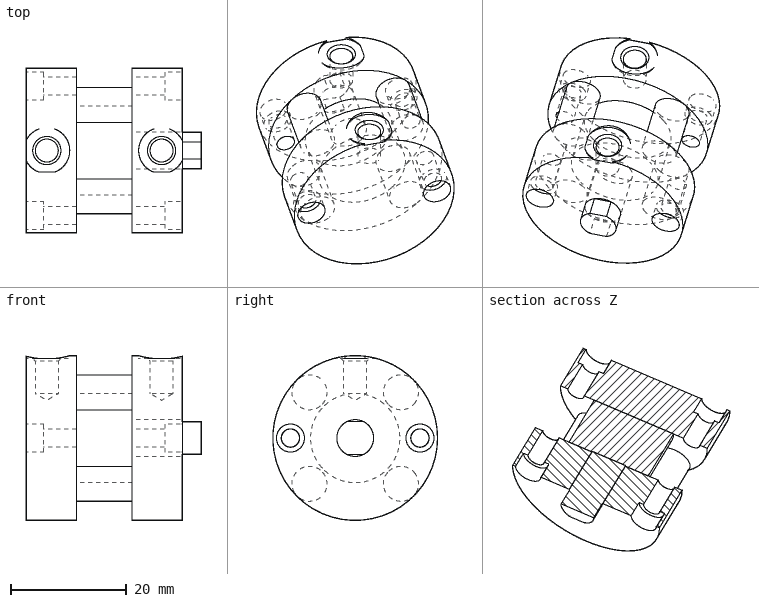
import cadquery as cq
import math

overall_length = 30.23
cap_diameter = 28.45
cap_thickness = 8.7
cap_gap = 9.52

barrel_diameter = 15.42
tie_rod_diameter = 6.05
tie_rod_offset = 7.9

piston_rod_diameter = 6.35
piston_rod_across_flats = 5.62

mount_spacing = 22.35
mount_hole_diameter = 3.1
counterbore_diameter = 4.85
counterbore_depth = 3.02

port_inset = 3.57
spotface_diameter = 7.92
spotface_height = 13.72
port_chamfer = 0.45
port_diameter = 3.95
port_depth = 6.05
drill_point_angle = 118.0

cap_radius = cap_diameter / 2
front_cap_start = cap_thickness + cap_gap
front_cap_end = front_cap_start + cap_thickness


def x_cylinder(diameter, start, length, y=0.0, z=0.0):
    """Cylinder parallel to X that begins at `start`."""
    return cq.Workplane("YZ", origin=(start, y, z)).circle(diameter / 2).extrude(length)


def port_cutter():
    """Spotface, chamfered bore and drill point, turned about the vertical port axis."""
    bore_radius = port_diameter / 2
    mouth_radius = bore_radius + port_chamfer
    bore_bottom = spotface_height - port_depth
    point_height = bore_radius / math.tan(math.radians(drill_point_angle / 2))
    profile = [
        (0, cap_radius),
        (spotface_diameter / 2, cap_radius),
        (spotface_diameter / 2, spotface_height),
        (mouth_radius, spotface_height),
        (bore_radius, spotface_height - port_chamfer),
        (bore_radius, bore_bottom),
        (0, bore_bottom - point_height),
    ]
    cutter = cq.Workplane("XZ").polyline(profile).close().revolve(360, (0, 0), (0, 1))
    return cutter.translate((port_inset, 0, 0))


def make_rear_cap():
    """Plain cap with its outer face at X = 0."""
    cap = x_cylinder(cap_diameter, 0, cap_thickness)
    for y in (-mount_spacing / 2, mount_spacing / 2):
        cap = cap.cut(x_cylinder(mount_hole_diameter, 0, cap_thickness, y))
        cap = cap.cut(x_cylinder(counterbore_diameter, 0, counterbore_depth, y))
    return cap.cut(port_cutter())


def make_front_cap():
    """Mirror image of the rear cap, with a bore for the piston rod."""
    cap = make_rear_cap().mirror("YZ").translate((front_cap_end, 0, 0))
    return cap.cut(x_cylinder(piston_rod_diameter, front_cap_start, cap_thickness))


def make_barrel():
    """Plain cylinder held between the inner faces of the caps."""
    return x_cylinder(barrel_diameter, cap_thickness, cap_gap)


def make_tie_rod(y, z):
    """One tie rod spanning the gap between the caps."""
    return x_cylinder(tie_rod_diameter, cap_thickness, cap_gap, y, z)


def make_piston_rod():
    """Round through the front cap, then flattened above and below up to its free end."""
    exposed_length = overall_length - front_cap_end
    round_part = x_cylinder(piston_rod_diameter, front_cap_start, cap_thickness)
    exposed_part = x_cylinder(piston_rod_diameter, front_cap_end, exposed_length)
    between_flats = (
        cq.Workplane("YZ", origin=(front_cap_end, 0, 0))
        .rect(piston_rod_diameter, piston_rod_across_flats)
        .extrude(exposed_length)
    )
    return round_part.union(exposed_part.intersect(between_flats))


rear_cap = make_rear_cap()
front_cap = make_front_cap()
barrel = make_barrel()
piston_rod = make_piston_rod()
tie_rods = []
for rod_y in (-tie_rod_offset, tie_rod_offset):
    for rod_z in (-tie_rod_offset, tie_rod_offset):
        tie_rods.append(make_tie_rod(rod_y, rod_z).val())

result = cq.Compound.makeCompound([
    rear_cap.val(),
    front_cap.val(),
    barrel.val(),
    piston_rod.val(),
    *tie_rods,
])